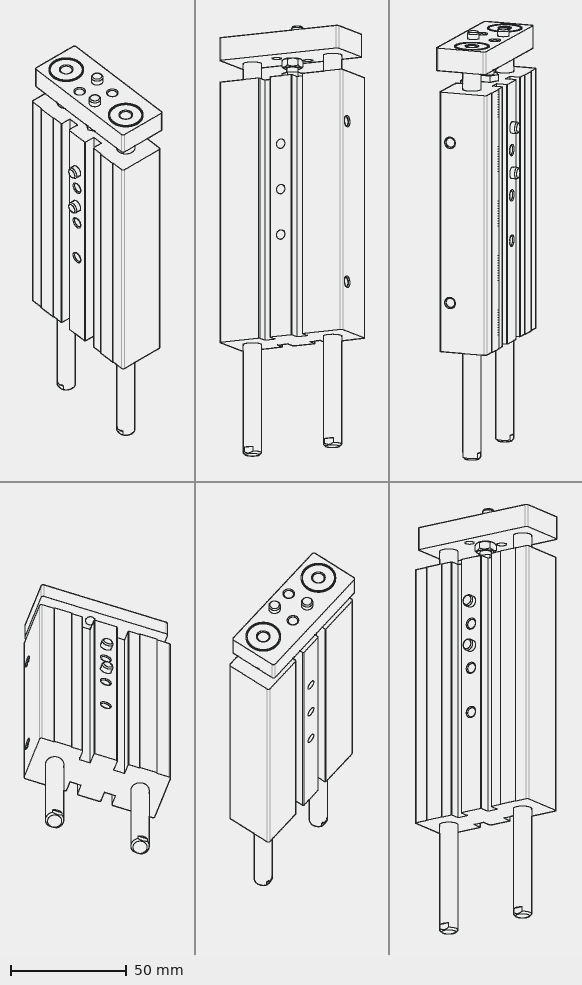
import cadquery as cq
import math

rod_below_housing = 48.6
housing_length = 114.9
plate_gap = 9.1
plate_thickness = 10.0
pin_protrusion = 3.0
housing_top = rod_below_housing + housing_length
plate_bottom = housing_top + plate_gap
plate_top = plate_bottom + plate_thickness

housing_width = 60.0
housing_depth = 21.9
corner_radius = 1.0
wing_recess = 0.28
slot_inner_x = 5.4
slot_outer_x = 10.4
slot_depth = 5.0
slot_lip_chamfer = 0.4
centre_strip_width = 2 * slot_inner_x

rod_spacing = 39.2
rod_diameter = 8.0
rod_chamfer = 1.0
rod_flat_across = 6.7
rod_flat_length = 3.0
rod_x = (-rod_spacing / 2, rod_spacing / 2)

plate_width = 58.0
plate_back_y = 13.0
plate_front_y = -9.8
groove_outer_diameter = 15.0
groove_inner_diameter = 14.0
groove_depth = 0.4
centre_recess_diameter = 6.0
centre_recess_floor_diameter = 5.0
centre_recess_depth = 0.4

hole_diameter = 4.0
hole_mouth_diameter = 5.0
mouth_depth = (hole_mouth_diameter - hole_diameter) / 2
hole_pitch = 10.0
plate_hole_offset = hole_pitch / 2
pin_diameter = 5.0
pin_tip_diameter = 4.0
pin_chamfer_width = (pin_diameter - pin_tip_diameter) / 2
pin_chamfer_length = 0.7
pin_seat_depth = 5.0
plate_pin_places = [(-plate_hole_offset, plate_hole_offset), (plate_hole_offset, -plate_hole_offset)]
plate_hole_places = [(-plate_hole_offset, -plate_hole_offset), (plate_hole_offset, plate_hole_offset)]
strip_front_y = -housing_depth / 2
first_hole_z = housing_top - 2 * hole_pitch
housing_pin_heights = [first_hole_z - hole_pitch * step for step in (0, 2)]
housing_hole_heights = [first_hole_z - hole_pitch * step for step in (1, 3, 5)]

port_depth = 0.7
port_tip_angle = 118
port_y = 6.1
upper_port_below_top = 22.0
port_spacing = 70.9
upper_port_z = housing_top - upper_port_below_top
port_heights = [upper_port_z, upper_port_z - port_spacing]

hex_across_flats = 8.0
hex_across_corners = hex_across_flats / math.cos(math.pi / 6)
nut_face_diameter = 7.5
nut_bevel_width = (hex_across_corners - nut_face_diameter) / 2
nut_bevel_height = 0.7
nut_thickness = 3.9
rod_hex_height = 2.8
piston_rod_diameter = 7.5
piston_rod_seat = 10.0
stud_diameter = 5.0
stud_in_plate = 5.0


def cylinder(diameter, bottom, top, x=0, y=0):
    return cq.Workplane("XY", origin=(x, y, bottom)).circle(diameter / 2).extrude(top - bottom)


def slab(x0, x1, y0, y1, z0, z1):
    return cq.Workplane("XY").box(x1 - x0, y1 - y0, z1 - z0, centered=False).translate((x0, y0, z0))


def cone_frustum(bottom_diameter, top_diameter, bottom, top):
    return cq.Workplane(
        cq.Solid.makeCone(bottom_diameter / 2, top_diameter / 2, top - bottom, cq.Vector(0, 0, bottom))
    )


def hexagon(bottom, top):
    """Hexagonal prism with corners toward +Y and -Y."""
    prism = cq.Workplane("XY", origin=(0, 0, bottom)).polygon(6, hex_across_corners).extrude(top - bottom)
    return prism.rotate((0, 0, 0), (0, 0, 1), 30)


def pin_seat_cutter():
    """Plain pin seat pointing down from Z = 0."""
    return cylinder(pin_diameter, -pin_seat_depth, 0)


def hole_cutter(depth):
    """Hole pointing down from Z = 0, with a countersunk mouth."""
    return cylinder(hole_diameter, -depth, 0).union(
        cone_frustum(hole_diameter, hole_mouth_diameter, -mouth_depth, 0)
    )


def port_cutter():
    """Drilled port pointing down from Z = 0, with a countersunk mouth and a conical floor."""
    tip_height = hole_diameter / 2 / math.tan(math.radians(port_tip_angle / 2))
    return hole_cutter(port_depth).union(
        cone_frustum(0, hole_diameter, -port_depth - tip_height, -port_depth)
    )


def place_on_plate(shape, x, y):
    return shape.translate((x, y, plate_top))


def place_on_front(shape, z):
    return shape.rotate((0, 0, 0), (1, 0, 0), 90).translate((0, strip_front_y, z))


def housing_slot(side_x, side_y):
    """Sensor slot open toward side_y, with a chamfer on both edges of its mouth."""
    inner_face = housing_depth / 2
    outer_face = inner_face - (wing_recess if side_y < 0 else 0)
    floor = inner_face - slot_depth
    beyond = inner_face + slot_lip_chamfer
    outline = [
        (slot_inner_x, floor),
        (slot_outer_x, floor),
        (slot_outer_x, outer_face - slot_lip_chamfer),
        (slot_outer_x + slot_lip_chamfer, outer_face),
        (slot_outer_x + slot_lip_chamfer, beyond),
        (slot_inner_x - slot_lip_chamfer, beyond),
        (slot_inner_x - slot_lip_chamfer, inner_face),
        (slot_inner_x, inner_face - slot_lip_chamfer),
    ]
    points = [(side_x * x, side_y * y) for x, y in outline]
    housing_end = cq.Workplane("XY", origin=(0, 0, rod_below_housing))
    return housing_end.polyline(points).close().extrude(housing_length)


def make_housing():
    half_width = housing_width / 2
    half_depth = housing_depth / 2
    wing_front_y = strip_front_y + wing_recess
    body = slab(-half_width, half_width, wing_front_y, half_depth, rod_below_housing, housing_top)
    body = body.edges("|Z").fillet(corner_radius)
    for x, width in [(0, centre_strip_width)] + [(x, rod_diameter) for x in rod_x]:
        strip = slab(x - width / 2, x + width / 2, strip_front_y, 0, rod_below_housing, housing_top)
        body = body.union(strip)
    for side_x in (-1, 1):
        for side_y in (-1, 1):
            body = body.cut(housing_slot(side_x, side_y))
    for x in rod_x:
        body = body.cut(cylinder(rod_diameter, rod_below_housing, housing_top, x))
    body = body.cut(cylinder(piston_rod_diameter, housing_top - piston_rod_seat, housing_top))
    for z in housing_pin_heights:
        body = body.cut(place_on_front(pin_seat_cutter(), z))
    for z in housing_hole_heights:
        body = body.cut(place_on_front(hole_cutter(housing_depth), z))
    for z in port_heights:
        port = port_cutter().rotate((0, 0, 0), (0, 1, 0), -90)
        body = body.cut(port.translate((-half_width, port_y, z)))
    return body


def guide_rod(x):
    """Guide rod with a chamfered tip and a wrench flat on its front and back."""
    rod = cylinder(rod_diameter, 0, plate_bottom, x).faces("<Z").chamfer(rod_chamfer)
    radius = rod_diameter / 2
    for y in (-radius - rod_flat_across / 2, radius + rod_flat_across / 2):
        rod = rod.cut(slab(x - radius, x + radius, y - radius, y + radius, 0, rod_flat_length))
    return rod


def make_guide_frame():
    """End plate and the two guide rods that carry it, as one body."""
    half_width = plate_width / 2
    frame = slab(-half_width, half_width, plate_front_y, plate_back_y, plate_bottom, plate_top)
    frame = frame.edges("|Z").fillet(corner_radius)
    groove_floor = plate_top - groove_depth
    groove = cylinder(groove_outer_diameter, groove_floor, plate_top)
    groove = groove.cut(cylinder(groove_inner_diameter, groove_floor, plate_top))
    recess = cone_frustum(
        centre_recess_floor_diameter, centre_recess_diameter, plate_top - centre_recess_depth, plate_top
    )
    for x in rod_x:
        frame = frame.union(guide_rod(x))
        frame = frame.cut(groove.translate((x, 0, 0)))
        frame = frame.cut(recess.translate((x, 0, 0)))
    for x, y in plate_pin_places:
        frame = frame.cut(place_on_plate(pin_seat_cutter(), x, y))
    for x, y in plate_hole_places:
        frame = frame.cut(place_on_plate(hole_cutter(plate_thickness), x, y))
    return frame.cut(cylinder(stud_diameter, plate_bottom, plate_bottom + stud_in_plate))


def make_piston_rod():
    """Piston rod with a wrench hexagon and a thinner stud that ends inside the plate."""
    hex_top = housing_top + rod_hex_height
    rod = cylinder(piston_rod_diameter, housing_top - piston_rod_seat, hex_top)
    rod = rod.union(hexagon(housing_top, hex_top))
    return rod.union(cylinder(stud_diameter, hex_top, plate_bottom + stud_in_plate))


def make_nut():
    """Hexagonal nut whose corners are bevelled at both ends."""
    nut_bottom = plate_bottom - nut_thickness
    envelope = cylinder(hex_across_corners, nut_bottom, plate_bottom)
    for end in ("<Z", ">Z"):
        envelope = envelope.faces(end).chamfer(nut_bevel_height, nut_bevel_width)
    nut_body = hexagon(nut_bottom, plate_bottom).intersect(envelope)
    return nut_body.cut(cylinder(stud_diameter, nut_bottom, plate_bottom))


def make_pin():
    """Pin along Z, seated below Z = 0 and with a chamfered end above."""
    pin = cylinder(pin_diameter, -pin_seat_depth, pin_protrusion)
    return pin.faces(">Z").chamfer(pin_chamfer_length, pin_chamfer_width)


housing = make_housing()
guide_frame = make_guide_frame()
piston_rod = make_piston_rod()
nut = make_nut()
plate_pins = [place_on_plate(make_pin(), x, y) for x, y in plate_pin_places]
housing_pins = [place_on_front(make_pin(), z) for z in housing_pin_heights]

bodies = [housing, guide_frame, piston_rod, nut, *plate_pins, *housing_pins]
result = cq.Compound.makeCompound([body.val() for body in bodies])